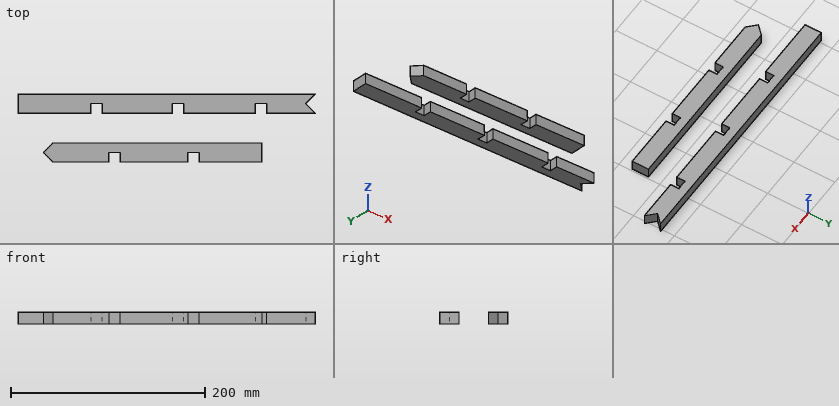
import cadquery as cq

bar_width = 20.0
bar_height = 12.5
half_width = bar_width / 2

notch_width = 11.5
notch_depth = half_width

long_bar_length = 306.0
long_bar_notch_starts = [75.0, 158.8, 244.2]

short_bar_length = 225.0
short_bar_tip_x = 26.0
short_bar_notch_offsets = [67.3, 148.7]

overall_width = 70.0
long_bar_y = overall_width - bar_width


def extrude_outline(points):
    """Close an outline given in the XY plane and raise it to the bar height."""
    return cq.Workplane("XY").polyline(points).close().extrude(bar_height)


def cut_notches(bar, starts):
    """Cut a square notch into the front edge at each start position along X."""
    for start in starts:
        notch = cq.Workplane("XY").box(notch_width, notch_depth, bar_height, centered=False)
        bar = bar.cut(notch.translate((start, 0, 0)))
    return bar


def make_long_bar():
    bar = extrude_outline([
        (0, 0),
        (long_bar_length, 0),
        (long_bar_length - half_width, half_width),
        (long_bar_length, bar_width),
        (0, bar_width),
    ])
    bar = cut_notches(bar, long_bar_notch_starts)
    return bar.translate((0, long_bar_y, 0))


def make_short_bar():
    bar = extrude_outline([
        (0, half_width),
        (half_width, 0),
        (short_bar_length, 0),
        (short_bar_length, bar_width),
        (half_width, bar_width),
    ])
    bar = cut_notches(bar, short_bar_notch_offsets)
    return bar.translate((short_bar_tip_x, 0, 0))


long_bar = make_long_bar()
short_bar = make_short_bar()

result = cq.Compound.makeCompound([long_bar.solids().val(), short_bar.solids().val()])